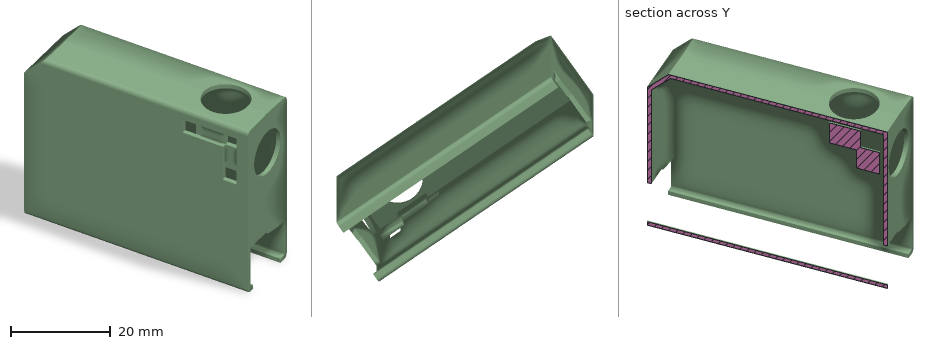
import cadquery as cq
import math

LENGTH = 52.5
WIDTH = 15.0
HEIGHT = 40.0
ROOF_DROP = 0.25
TOP_ROUND = 1.0
BOTTOM_ROUND = 0.9
NOSE_CHAMFER = 4.9

WALL = 1.0
BACK_LIP = 2.5
FRONT_LIP = 2.0
LIP_ROUND = 0.4

OPENING_HIGH = 10.8
OPENING_RAMP_TOP = 10.15
OPENING_LOW = 9.4
OPENING_STEP_Y = 0.2
RAMP_FOOT_Y = 4.2

ENTRY_DIAMETER = 10.2
ENTRY_SETBACK = 9.7

SLOT_WIDTH = 3.2
SLOT_INSET = 2.7
SLOT_RUN_X = 12.6
SLOT_RUN_Z = 11.3
END_WINDOW = 2.5
BRIDGE_THICKNESS = WALL
BRIDGE_MARGIN = 1.0

HALF_LENGTH = LENGTH / 2
HALF_WIDTH = WIDTH / 2
INNER_HALF_LENGTH = HALF_LENGTH - WALL
INNER_HALF_WIDTH = HALF_WIDTH - WALL


def box(x_range, y_range, z_range):
    """Axis-aligned box between the given limits."""
    sizes = [high - low for low, high in (x_range, y_range, z_range)]
    corner = (x_range[0], y_range[0], z_range[0])
    return cq.Workplane("XY").box(*sizes, centered=False).translate(corner)


def extrude_along_x(points, half_length):
    """Prism centred on X from (y, z) points."""
    return cq.Workplane("YZ").polyline(points).close().extrude(half_length, both=True)


def gabled_block(half_length, half_width, bottom, top):
    """Block with a shallow roof whose ridge runs along X."""
    eave = top - ROOF_DROP * half_width / HALF_WIDTH
    return extrude_along_x(
        [
            (-half_width, bottom),
            (half_width, bottom),
            (half_width, eave),
            (0, top),
            (-half_width, eave),
        ],
        half_length,
    )


def nose_cutter(depth):
    """Prism that takes the given leg length off both sides of the upper -X edge."""
    return (
        cq.Workplane("XZ")
        .polyline([
            (-HALF_LENGTH, HEIGHT - depth),
            (-HALF_LENGTH, HEIGHT),
            (-HALF_LENGTH + depth, HEIGHT),
        ])
        .close()
        .extrude(HALF_WIDTH, both=True)
    )


def make_body():
    body = gabled_block(HALF_LENGTH, HALF_WIDTH, 0, HEIGHT)
    body = body.faces("<Y or >Y").edges("|X and >Z").fillet(TOP_ROUND)
    body = body.faces("<Z").edges("|X").fillet(BOTTOM_ROUND)
    return body.cut(nose_cutter(NOSE_CHAMFER))


def make_cavity():
    cavity = gabled_block(INNER_HALF_LENGTH, INNER_HALF_WIDTH, WALL, HEIGHT - WALL)
    cavity = cavity.faces("<Z").edges("|X").fillet(LIP_ROUND)
    return cavity.cut(nose_cutter(NOSE_CHAMFER + WALL * math.sqrt(2)))


def make_end_openings():
    """Stepped opening through both end walls, with the gap between the lips below it."""
    opening = extrude_along_x(
        [
            (-INNER_HALF_WIDTH, WALL),
            (INNER_HALF_WIDTH, WALL),
            (INNER_HALF_WIDTH, OPENING_LOW),
            (RAMP_FOOT_Y, OPENING_LOW),
            (OPENING_STEP_Y, OPENING_RAMP_TOP),
            (OPENING_STEP_Y, OPENING_HIGH),
            (-INNER_HALF_WIDTH, OPENING_HIGH),
        ],
        HALF_LENGTH,
    )
    opening = opening.faces("<Z").edges("|X").fillet(LIP_ROUND)
    lip_gap = box(
        (-HALF_LENGTH, HALF_LENGTH),
        (-HALF_WIDTH + FRONT_LIP, HALF_WIDTH - BACK_LIP),
        (0, OPENING_LOW),
    )
    return opening.union(lip_gap)


def make_cable_entries():
    center_x = HALF_LENGTH - ENTRY_SETBACK
    center_z = HEIGHT - ENTRY_SETBACK
    roof_plane = cq.Workplane("XY", origin=(center_x, 0, HEIGHT))
    end_plane = cq.Workplane("YZ", origin=(HALF_LENGTH, 0, center_z))
    cut_depth = 2 * WALL
    roof_entry = roof_plane.circle(ENTRY_DIAMETER / 2).extrude(-cut_depth)
    end_entry = end_plane.circle(ENTRY_DIAMETER / 2).extrude(-cut_depth)
    return roof_entry.union(end_entry)


SLOT_RIGHT = HALF_LENGTH - SLOT_INSET
SLOT_TOP = HEIGHT - SLOT_INSET
SLOT_LEFT = SLOT_RIGHT - SLOT_RUN_X
SLOT_BOTTOM = SLOT_TOP - SLOT_RUN_Z
CORNER_LEFT = SLOT_RIGHT - SLOT_WIDTH
CORNER_BOTTOM = SLOT_TOP - SLOT_WIDTH


def make_tie_slot():
    through_wall = (-HALF_WIDTH, -INNER_HALF_WIDTH)
    level_leg = box((SLOT_LEFT, SLOT_RIGHT), through_wall, (CORNER_BOTTOM, SLOT_TOP))
    upright_leg = box((CORNER_LEFT, SLOT_RIGHT), through_wall, (SLOT_BOTTOM, SLOT_TOP))
    return level_leg.union(upright_leg)


def make_bridges():
    """Bars on the inner face that leave the slot open only at its corner and ends."""
    behind_wall = (-INNER_HALF_WIDTH, -INNER_HALF_WIDTH + BRIDGE_THICKNESS)
    level_bridge = box(
        (SLOT_LEFT + END_WINDOW, CORNER_LEFT),
        behind_wall,
        (CORNER_BOTTOM - BRIDGE_MARGIN, SLOT_TOP + BRIDGE_MARGIN),
    )
    upright_bridge = box(
        (CORNER_LEFT - BRIDGE_MARGIN, SLOT_RIGHT + BRIDGE_MARGIN),
        behind_wall,
        (SLOT_BOTTOM + END_WINDOW, CORNER_BOTTOM),
    )
    return level_bridge.union(upright_bridge)


result = make_body()
for cutter in (make_cavity(), make_end_openings(), make_cable_entries(), make_tie_slot()):
    result = result.cut(cutter)
result = result.union(make_bridges())